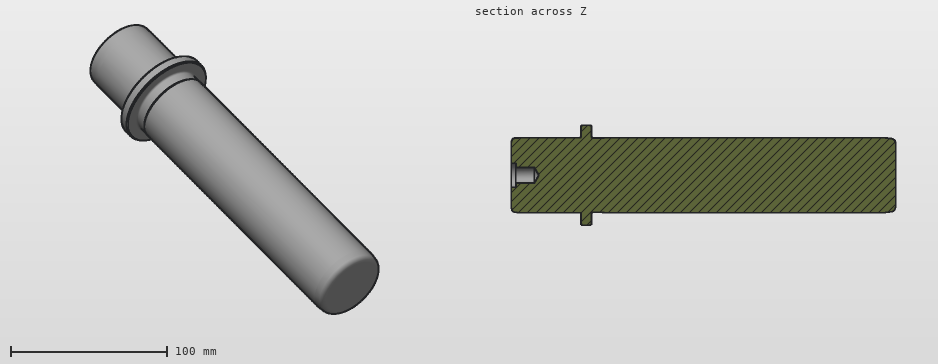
import cadquery as cq
import math

length = 245.0
body_radius = 24.0
flange_diameter = 64.0
flange_radius = flange_diameter / 2

short_end_round = 3.0
lead_diameter = 47.8
lead_radius = lead_diameter / 2
lead_end = 9.8

flange_start = 44.3
flange_end = 51.2
flange_chamfer = 0.7
relief_radius = 23.8
short_root_fillet = 0.7
long_root_fillet = 1.2
relief_end = 58.3
guide_start = 59.0

taper_start = 237.6
far_lead_radius = 23.5
far_end_round = 3.5

counterbore_radius = 7.5
counterbore_depth = 3.0
hole_radius = 5.0
hole_depth = 14.7
drill_point_angle = 120.0


def round_middle(center_x, center_r, radius, x_direction):
    """Middle point of a quarter-circle edge round."""
    offset = radius * math.sqrt(0.5)
    return (center_x + x_direction * offset, center_r + offset)


def root_middle(center_x, center_r, radius, x_direction):
    """Middle point of a quarter-circle fillet at the foot of the flange."""
    offset = radius * math.sqrt(0.5)
    return (center_x + x_direction * offset, center_r - offset)


def make_pin():
    """Revolve the half outline of the solid pin about X."""
    short_face_radius = lead_radius - short_end_round
    far_face_radius = far_lead_radius - far_end_round
    far_round_start = length - far_end_round
    short_root_start = flange_start - short_root_fillet
    short_root_top = body_radius + short_root_fillet
    long_root_end = flange_end + long_root_fillet
    long_root_top = relief_radius + long_root_fillet
    outline = (
        cq.Workplane("XY")
        .lineTo(0, short_face_radius)
        .threePointArc(
            round_middle(short_end_round, short_face_radius, short_end_round, -1),
            (short_end_round, lead_radius),
        )
        .lineTo(lead_end, body_radius)
        .lineTo(short_root_start, body_radius)
        .threePointArc(
            root_middle(short_root_start, short_root_top, short_root_fillet, 1),
            (flange_start, short_root_top),
        )
        .lineTo(flange_start, flange_radius - flange_chamfer)
        .lineTo(flange_start + flange_chamfer, flange_radius)
        .lineTo(flange_end - flange_chamfer, flange_radius)
        .lineTo(flange_end, flange_radius - flange_chamfer)
        .lineTo(flange_end, long_root_top)
        .threePointArc(
            root_middle(long_root_end, long_root_top, long_root_fillet, -1),
            (long_root_end, relief_radius),
        )
        .lineTo(relief_end, relief_radius)
        .lineTo(guide_start, body_radius)
        .lineTo(taper_start, body_radius)
        .lineTo(far_round_start, far_lead_radius)
        .threePointArc(
            round_middle(far_round_start, far_face_radius, far_end_round, 1),
            (length, far_face_radius),
        )
        .lineTo(length, 0)
        .close()
    )
    return outline.revolve(360, (0, 0, 0), (1, 0, 0))


def make_center_hole():
    """Counterbore, drilled bore and conical drill point, revolved about X."""
    point_depth = hole_radius / math.tan(math.radians(drill_point_angle / 2))
    outline = (
        cq.Workplane("XY")
        .lineTo(0, counterbore_radius)
        .lineTo(counterbore_depth, counterbore_radius)
        .lineTo(counterbore_depth, hole_radius)
        .lineTo(hole_depth, hole_radius)
        .lineTo(hole_depth + point_depth, 0)
        .close()
    )
    return outline.revolve(360, (0, 0, 0), (1, 0, 0))


result = make_pin().cut(make_center_hole())